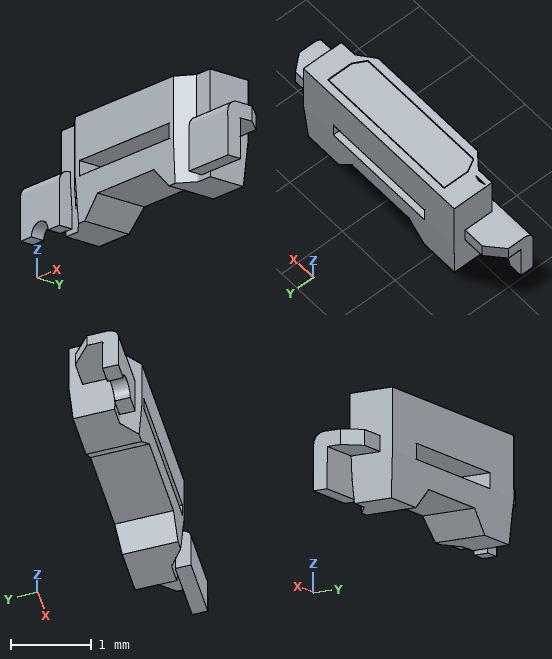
import cadquery as cq
import math

total_length = 4.0
depth = 0.81
height = 1.41
end_x = total_length / 2

body_half = 1.43
split_z = 0.605
draft_angle = 4.0
shoulder_y = 0.185
shoulder_x = 1.175
front_half = 0.945

window_half = 0.865
metal_thickness = 0.205
window_height = metal_thickness

notch_top_half = 0.54
notch_bottom_half = 0.81
notch_height = 0.29

recess_depth = 0.015
recess_half = 1.105
recess_front_half = 1.005
recess_front_y = 0.12
recess_corner_y = 0.3
recess_back_y = 0.69

mark_x = -1.31
mark_y = 0.27
mark_half = 0.085
mark_rise = 0.015
mark_depth = 0.015

terminal_top_z = split_z + metal_thickness
terminal_inner_x = 1.25
terminal_back_y = 0.63
leg_bottom_z = 0.06
bend_radius = 0.155
left_corner_x = 0.245
left_corner_y = 0.22
right_corner_x = 0.205
right_corner_y = 0.24
right_leg_flare = 0.01

cutout_x = -1.63
cutout_radius = 0.16


def mirrored_outline(right_points):
    """Points of an outline symmetric about X = 0, from those on its right side."""
    return right_points + [(-x, y) for x, y in reversed(right_points)]


def make_body():
    outline = mirrored_outline([
        (front_half, 0),
        (shoulder_x, shoulder_y),
        (body_half, shoulder_y),
        (body_half, depth),
    ])
    split_plane = cq.Workplane("XY").workplane(offset=split_z)
    upper = split_plane.polyline(outline).close().extrude(height - split_z)
    lower = split_plane.polyline(outline).close().extrude(-split_z, taper=draft_angle)
    return upper.union(lower)


def make_window():
    split_plane = cq.Workplane("XY").workplane(offset=split_z)
    return split_plane.box(2 * window_half, depth, window_height, centered=(True, False, False))


def make_notch():
    outline = mirrored_outline([(notch_bottom_half, 0), (notch_top_half, notch_height)])
    return cq.Workplane("XZ").polyline(outline).close().extrude(-depth)


def make_recess():
    outline = mirrored_outline([
        (recess_front_half, recess_front_y),
        (recess_half, recess_corner_y),
        (recess_half, recess_back_y),
    ])
    floor = cq.Workplane("XY").workplane(offset=height - recess_depth)
    return floor.polyline(outline).close().extrude(recess_depth)


def make_mark():
    return (
        cq.Workplane("XY")
        .workplane(offset=height - mark_depth)
        .center(mark_x, mark_y)
        .moveTo(-mark_half, 0)
        .threePointArc((0, mark_rise), (mark_half, 0))
        .close()
        .extrude(mark_depth)
    )


def make_terminal(side, corner_x, corner_y, flare):
    """L-shaped terminal at side -1 or +1; its leg widens outwards by flare at the bottom."""
    bend_mid = bend_radius * (1 - math.sqrt(0.5))
    profile = (
        cq.Workplane("YZ")
        .moveTo(0, leg_bottom_z)
        .lineTo(0, terminal_top_z - bend_radius)
        .threePointArc((bend_mid, terminal_top_z - bend_mid), (bend_radius, terminal_top_z))
        .lineTo(terminal_back_y, terminal_top_z)
        .lineTo(terminal_back_y, split_z)
        .lineTo(metal_thickness, split_z)
        .lineTo(metal_thickness, leg_bottom_z)
        .close()
        .extrude(side * end_x)
    )
    plan = (
        cq.Workplane("XY")
        .polyline([
            (side * terminal_inner_x, 0),
            (side * end_x, 0),
            (side * end_x, terminal_back_y - corner_y),
            (side * (end_x - corner_x), terminal_back_y),
            (side * terminal_inner_x, terminal_back_y),
        ])
        .close()
        .extrude(terminal_top_z)
    )
    end_face = (
        cq.Workplane("XZ")
        .polyline([
            (0, leg_bottom_z),
            (side * end_x, leg_bottom_z),
            (side * (end_x - flare), split_z),
            (side * (end_x - flare), terminal_top_z),
            (0, terminal_top_z),
        ])
        .close()
        .extrude(-depth)
    )
    return profile.intersect(plan).intersect(end_face)


def make_leg_cutout():
    return (
        cq.Workplane("XZ")
        .center(cutout_x, leg_bottom_z)
        .circle(cutout_radius)
        .extrude(-metal_thickness)
    )


left_terminal = make_terminal(-1, left_corner_x, left_corner_y, 0).cut(make_leg_cutout())
right_terminal = make_terminal(1, right_corner_x, right_corner_y, right_leg_flare)

result = (
    make_body()
    .cut(make_window())
    .cut(make_notch())
    .cut(make_recess())
    .cut(make_mark())
    .union(left_terminal)
    .union(right_terminal)
)